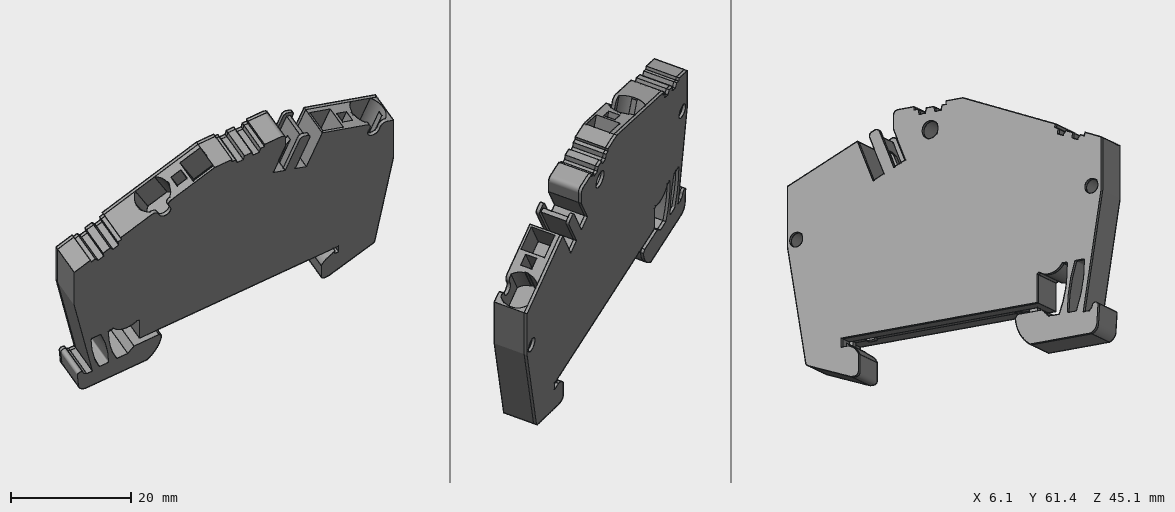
import math

import cadquery as cq


THICKNESS = 6.1
LENGTH = 61.4
HEIGHT = 45.11
COVER_THICKNESS = 0.55
CENTRE_X = THICKNESS / 2
END_Y = LENGTH / 2

ROOF_ANGLE = math.radians(22.5)
ROOF_COS = math.cos(ROOF_ANGLE)
ROOF_SIN = math.sin(ROOF_ANGLE)
BACK_CORNER_Y = 17.0
BACK_EAVE_Z = 35.2
FRONT_CORNER_Y = -3.7
BACK_CORNER_Z = BACK_EAVE_Z + (END_Y - BACK_CORNER_Y) * math.tan(ROOF_ANGLE)
FRONT_EAVE_Z = HEIGHT - (FRONT_CORNER_Y + END_Y) * math.tan(ROOF_ANGLE)

SLOT_DEPTH = 8.0
LEVER_START = 2.33
LEVER_END = 4.4
SLOTS_END = 6.88
LEVER_TIP_RADIUS = 0.7
CREST_Y = 9.95
CREST_BASE_Z = 41.85
CREST_RADIUS = 0.92

WEB_START = LEVER_START + 0.5
WEB_END = WEB_START + 0.8
WEB_TOP = 0.8
RELIEF_DEPTH = SLOT_DEPTH + 2.0

SIDE_BREAK_Z = 24.75
RAIL_Z = 7.04
RAIL_BACK_Y = 20.15
RAIL_FRONT_Y = -18.15
BACK_FOOT_TIP_Y = 16.8
BACK_FOOT_TOP_Z = 5.45
LIP_Y = 19.45
LIP_TOP_Z = 6.2
FOOT_TOP_Z = 5.55
FOOT_POCKET_Z = 4.3
FOOT_TIP_RADIUS = 0.7
WINDOW_TOP_Z = 13.15
WINDOW_RADIUS = 0.3

GROOVE_SPAN = 6.26
GROOVE_SHOULDER = 0.78
SHOULDER_DEPTH = 0.6
GROOVE_DEPTH = 1.5
GROOVE_TOP = 1.62
GROOVE_TAPER = 0.22
CREST_GROOVE_Y = 5.9
ROOF_GROOVE_DISTANCE = 19.6

PEG_HOLES = [(2.75, 40.6, 3.1), (28.95, 25.65, 2.55), (-28.8, 25.65, 2.55)]
PEG_HOLE_DEPTH = 4.5

BACK_GROUP_START = 0.38
FRONT_GROUP_START = 0.0
FUNNEL_X = 3.5
FUNNEL_WIDTH = 4.35
FUNNEL_LENGTH = 4.25
FUNNEL_DEPTH = 6.9
TEST_X = 3.55
TEST_SIZE = 2.05
TEST_DISTANCE = 5.85
TEST_DEPTH = 6.0
WELL_DISTANCE = 11.05
WELL_RADIUS = 3.2
WELL_DEPTH = 6.3
WELL_WALL_X = 5.45
NOTCH_HALF_WIDTH = 1.1
NOTCH_RIM_RADIUS = 1.0
NOTCH_DEPTH = 2.9
KEYWAY_WIDTH = 0.6
KEYWAY_DEPTH = 0.1

METAL_WIDTH = 0.95
BAR_THICKNESS = 0.5
BACK_BAR_TOP = 1.45
FRONT_BAR_TOP = 0.3
BLADE_TOP = 3.4
BLADE_SHOULDER = 4.6
BLADE_END = LEVER_END - 0.3
CONTACT_TOP_Z = RAIL_Z + 1.0
BACK_PAD_Z = 6.7
FRONT_PAD_Z = 6.9
POST_FRONT_Y = -16.7


def back_roof_point(uphill, depth):
    """Point measured up the back roof from its corner and square into the block."""
    return (
        BACK_CORNER_Y - uphill * ROOF_COS - depth * ROOF_SIN,
        BACK_CORNER_Z + uphill * ROOF_SIN - depth * ROOF_COS,
    )


def round_corners(block, corners, radius):
    """Fillet the edges along X that pass through the given (y, z) corners."""
    reach = 0.02
    for y, z in corners:
        box = cq.selectors.BoxSelector(
            (-THICKNESS, y - reach, z - reach),
            (2 * THICKNESS, y + reach, z + reach),
        )
        block = block.edges("|X").edges(box).fillet(radius)
    return block


def outline(start_x, width):
    """Side outline of the block, extruded along X."""
    lever_tips = [back_roof_point(LEVER_START, 0), back_roof_point(LEVER_END, 0)]
    back_foot_heel = (27.05, 3.45)
    back_foot_tip = (BACK_FOOT_TIP_Y, 0)
    block = (
        cq.Workplane("YZ", origin=(start_x, 0, 0))
        .moveTo(END_Y, BACK_EAVE_Z)
        .lineTo(BACK_CORNER_Y, BACK_CORNER_Z)
        .lineTo(*back_roof_point(0, SLOT_DEPTH))
        .lineTo(*back_roof_point(LEVER_START, SLOT_DEPTH))
        .lineTo(*lever_tips[0])
        .lineTo(*lever_tips[1])
        .lineTo(*back_roof_point(LEVER_END, SLOT_DEPTH))
        .lineTo(*back_roof_point(SLOTS_END, SLOT_DEPTH))
        .lineTo(CREST_Y, CREST_BASE_Z)
        .lineTo(CREST_Y, HEIGHT)
        .lineTo(FRONT_CORNER_Y, HEIGHT)
        .lineTo(-END_Y, FRONT_EAVE_Z)
        .lineTo(-END_Y, SIDE_BREAK_Z)
        .lineTo(-27.2, 3.95)
        .lineTo(-28.3, 3.95)
        .threePointArc((-28.75, 4.3), (-29.0, 4.85))
        .threePointArc((-29.65, 5.25), (-30.07, 4.5))
        .lineTo(-29.9, 1.9)
        .threePointArc((-29.5, 0.6), (-28.6, 0))
        .lineTo(-16.7, 0)
        .threePointArc((-15.1, 1.6), (-13.9, 5.0))
        .lineTo(-14.4, FOOT_TOP_Z)
        .lineTo(-19.2, FOOT_TOP_Z)
        .lineTo(-20.4, FOOT_POCKET_Z)
        .lineTo(-22.5, FOOT_POCKET_Z)
        .threePointArc((-23.8, 8.8), (-24.1, 12.85))
        .lineTo(-23.9, WINDOW_TOP_Z)
        .lineTo(-23.1, WINDOW_TOP_Z)
        .threePointArc((-20.9, 11.7), (-18.6, 12.25))
        .lineTo(RAIL_FRONT_Y, 12.0)
        .lineTo(RAIL_FRONT_Y, RAIL_Z)
        .lineTo(RAIL_BACK_Y, RAIL_Z)
        .lineTo(RAIL_BACK_Y, BACK_FOOT_TOP_Z)
        .lineTo(18.6, BACK_FOOT_TOP_Z)
        .threePointArc((17.45, 4.75), (BACK_FOOT_TIP_Y, 3.8))
        .lineTo(*back_foot_tip)
        .lineTo(18.2, 0)
        .lineTo(*back_foot_heel)
        .lineTo(END_Y, SIDE_BREAK_Z)
        .close()
        .extrude(width)
    )
    block = round_corners(block, lever_tips, LEVER_TIP_RADIUS)
    block = round_corners(block, [(CREST_Y, HEIGHT)], CREST_RADIUS)
    block = round_corners(block, [back_foot_tip, back_foot_heel], FOOT_TIP_RADIUS)
    return block


def back_foot_lip(start_x, width):
    """Raised lip behind the curved top of the back foot."""
    return (
        cq.Workplane("YZ", origin=(start_x, 0, 0))
        .moveTo(LIP_Y, BACK_FOOT_TOP_Z)
        .lineTo(LIP_Y, LIP_TOP_Z)
        .lineTo(18.0, 5.15)
        .lineTo(18.6, BACK_FOOT_TOP_Z)
        .close()
        .extrude(width)
    )


def beam_window():
    """Curved window between the two spring beams of the front foot."""
    window = (
        cq.Workplane("YZ")
        .moveTo(-24.1, FOOT_POCKET_Z)
        .lineTo(-25.85, FOOT_POCKET_Z)
        .threePointArc((-27.1, 8.7), (-27.45, WINDOW_TOP_Z))
        .lineTo(-25.6, WINDOW_TOP_Z)
        .threePointArc((-24.45, 8.7), (-24.1, FOOT_POCKET_Z))
        .close()
        .extrude(THICKNESS)
    )
    return window.edges("|X").fillet(WINDOW_RADIUS)


def marker_grooves(start_y, start_z, slope):
    """Two tapered grooves below a shallow step, running down a surface of the given slope."""
    lift = 0.5
    half = []
    for along, depth in [
        (0, -lift),
        (0, SHOULDER_DEPTH),
        (GROOVE_SHOULDER, SHOULDER_DEPTH),
        (GROOVE_SHOULDER + GROOVE_TAPER, GROOVE_DEPTH),
        (GROOVE_SHOULDER + GROOVE_TOP - GROOVE_TAPER, GROOVE_DEPTH),
        (GROOVE_SHOULDER + GROOVE_TOP, SHOULDER_DEPTH),
    ]:
        half.append((along, -depth))
    mirrored = [(GROOVE_SPAN - along, height) for along, height in reversed(half)]
    across = (0, -math.cos(slope), -math.sin(slope))
    frame = cq.Plane(origin=(0, start_y, start_z), xDir=across, normal=(-1, 0, 0))
    return cq.Workplane(frame).polyline(half + mirrored).close().extrude(-THICKNESS)


def block_layer(start_x, width):
    """One slice of the block with every feature that runs through both cover and housing."""
    layer = outline(start_x, width).cut(beam_window())
    layer = layer.cut(marker_grooves(CREST_GROOVE_Y, HEIGHT, 0))
    layer = layer.cut(
        marker_grooves(
            FRONT_CORNER_Y - ROOF_GROOVE_DISTANCE * ROOF_COS,
            HEIGHT - ROOF_GROOVE_DISTANCE * ROOF_SIN,
            ROOF_ANGLE,
        )
    )
    for y, z, diameter in PEG_HOLES:
        hole = cq.Workplane("YZ").center(y, z).circle(diameter / 2).extrude(PEG_HOLE_DEPTH)
        layer = layer.cut(hole)
    return layer


def roof_frame(side, group_start):
    """Workplane on a roof at the start of its openings. Local y times side runs down the roof."""
    corner_y, corner_z = (BACK_CORNER_Y, BACK_CORNER_Z) if side > 0 else (FRONT_CORNER_Y, HEIGHT)
    origin = (
        0,
        corner_y + side * group_start * ROOF_COS,
        corner_z - group_start * ROOF_SIN,
    )
    normal = (0, side * ROOF_SIN, ROOF_COS)
    return cq.Workplane(cq.Plane(origin=origin, xDir=(1, 0, 0), normal=normal))


def well_notch(frame, side):
    """Round-bottomed notch through the +X wall of a screw well, flaring out to the roof."""
    rim = NOTCH_HALF_WIDTH + NOTCH_RIM_RADIUS
    bend = NOTCH_RIM_RADIUS * math.sqrt(0.5)
    bend_across = rim - bend
    bend_depth = NOTCH_RIM_RADIUS - bend
    round_depth = NOTCH_DEPTH - NOTCH_HALF_WIDTH
    section = cq.Plane(
        origin=frame.plane.toWorldCoords((CENTRE_X, side * WELL_DISTANCE, 0)),
        xDir=frame.plane.yDir,
        normal=(1, 0, 0),
    )
    return (
        cq.Workplane(section)
        .moveTo(-rim, 0)
        .threePointArc((-bend_across, -bend_depth), (-NOTCH_HALF_WIDTH, -NOTCH_RIM_RADIUS))
        .lineTo(-NOTCH_HALF_WIDTH, -round_depth)
        .threePointArc((0, -NOTCH_DEPTH), (NOTCH_HALF_WIDTH, -round_depth))
        .lineTo(NOTCH_HALF_WIDTH, -NOTCH_RIM_RADIUS)
        .threePointArc((bend_across, -bend_depth), (rim, 0))
        .close()
        .extrude(THICKNESS)
    )


def terminal_openings(side, group_start):
    """Wire funnel, test socket and screw well with its open notch in the +X wall."""
    frame = roof_frame(side, group_start)
    funnel = (
        frame.center(FUNNEL_X, side * FUNNEL_LENGTH / 2)
        .rect(FUNNEL_WIDTH, FUNNEL_LENGTH)
        .extrude(-FUNNEL_DEPTH)
    )
    test_socket = (
        frame.center(TEST_X, side * TEST_DISTANCE).rect(TEST_SIZE, TEST_SIZE).extrude(-TEST_DEPTH)
    )
    well_width = WELL_WALL_X - COVER_THICKNESS
    well_bounds = (
        frame.center(COVER_THICKNESS + well_width / 2, side * WELL_DISTANCE)
        .rect(well_width, 2 * WELL_RADIUS)
        .extrude(-WELL_DEPTH)
    )
    well_round = (
        frame.center(CENTRE_X, side * WELL_DISTANCE).circle(WELL_RADIUS).extrude(-WELL_DEPTH)
    )
    keyway = (
        frame.center(CENTRE_X, side * (WELL_DISTANCE - WELL_RADIUS))
        .rect(KEYWAY_WIDTH, 2 * KEYWAY_DEPTH)
        .extrude(-WELL_DEPTH)
    )
    well = well_bounds.intersect(well_round)
    return [funnel, test_socket, well, keyway, well_notch(frame, side)]


def clamp_bar(side, group_start, top_depth):
    """Upright bar set into the low side of a screw well, flush with the well's wall."""
    chord = math.sqrt(WELL_RADIUS**2 - (METAL_WIDTH / 2) ** 2)
    return (
        roof_frame(side, group_start)
        .workplane(offset=-WELL_DEPTH)
        .center(CENTRE_X, side * (WELL_DISTANCE + chord + BAR_THICKNESS / 2))
        .rect(METAL_WIDTH, BAR_THICKNESS)
        .extrude(WELL_DEPTH - top_depth)
    )


def lever_relief():
    """Material removed around the lever's thin middle web."""
    points = [
        (LEVER_START, -1),
        (LEVER_END, -1),
        (LEVER_END, RELIEF_DEPTH),
        (WEB_END, RELIEF_DEPTH),
        (WEB_END, WEB_TOP),
        (WEB_START, WEB_TOP),
        (WEB_START, RELIEF_DEPTH),
        (LEVER_START, RELIEF_DEPTH),
    ]
    return (
        cq.Workplane("YZ", origin=(COVER_THICKNESS, 0, 0))
        .polyline([back_roof_point(*point) for point in points])
        .close()
        .extrude(WELL_WALL_X - COVER_THICKNESS)
    )


def disconnect_blade():
    """Contact blade standing on the lever's web, with a bevelled upper end."""
    points = [
        (WEB_END, BLADE_TOP),
        (BLADE_END, BLADE_SHOULDER),
        (BLADE_END, RELIEF_DEPTH),
        (WEB_END, RELIEF_DEPTH),
    ]
    return (
        cq.Workplane("YZ", origin=(CENTRE_X - METAL_WIDTH / 2, 0, 0))
        .polyline([back_roof_point(*point) for point in points])
        .close()
        .extrude(METAL_WIDTH)
    )


def rail_contact():
    """Flat strip above the rail seat, with a back hook, two pads and a front post on the foot."""
    return (
        cq.Workplane("YZ", origin=(CENTRE_X - METAL_WIDTH / 2, 0, 0))
        .moveTo(RAIL_BACK_Y, CONTACT_TOP_Z)
        .lineTo(RAIL_BACK_Y, BACK_FOOT_TOP_Z)
        .lineTo(LIP_Y, BACK_FOOT_TOP_Z)
        .lineTo(LIP_Y, RAIL_Z)
        .lineTo(17.1, RAIL_Z)
        .lineTo(16.8, BACK_PAD_Z)
        .lineTo(15.4, BACK_PAD_Z)
        .lineTo(15.1, RAIL_Z)
        .lineTo(-12.2, RAIL_Z)
        .lineTo(-12.2, FRONT_PAD_Z)
        .lineTo(-13.3, FRONT_PAD_Z)
        .lineTo(-13.3, RAIL_Z)
        .lineTo(-15.15, RAIL_Z)
        .lineTo(-15.0, 6.3)
        .lineTo(-15.35, FOOT_TOP_Z)
        .lineTo(POST_FRONT_Y, FOOT_TOP_Z)
        .lineTo(POST_FRONT_Y, CONTACT_TOP_Z)
        .close()
        .extrude(METAL_WIDTH)
    )


cover = block_layer(0, COVER_THICKNESS)
housing = block_layer(COVER_THICKNESS, THICKNESS - COVER_THICKNESS)
housing = housing.union(back_foot_lip(COVER_THICKNESS, THICKNESS - COVER_THICKNESS))
clamp_bars = []
for side, group_start, bar_top in [
    (1, BACK_GROUP_START, BACK_BAR_TOP),
    (-1, FRONT_GROUP_START, FRONT_BAR_TOP),
]:
    for opening in terminal_openings(side, group_start):
        housing = housing.cut(opening)
    bar = clamp_bar(side, group_start, bar_top)
    housing = housing.cut(bar)
    clamp_bars.append(bar)

housing = housing.cut(lever_relief())
blade = disconnect_blade()
contact = rail_contact()
housing = housing.cut(contact)

result = cq.Compound.makeCompound(
    [
        housing.val(),
        cover.val(),
        *[bar.val() for bar in clamp_bars],
        blade.val(),
        contact.val(),
    ]
)